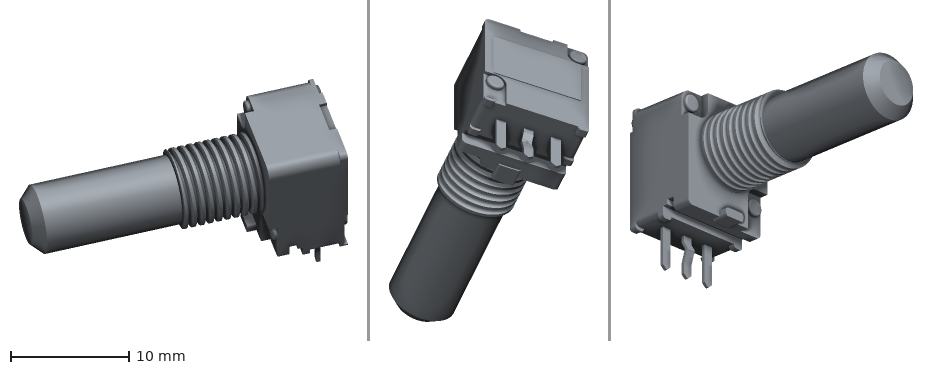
import cadquery as cq
import math


HOUSING_WIDTH = 9.5
SIDE_X = HOUSING_WIDTH / 2
TOP_Z = 4.85
BOTTOM_Z = -6.2
REAR_Y = 6.95
UPPER_EDGE_RADIUS = 1.0
LOWER_EDGE_RADIUS = 0.5
FLANGE_FRONT_Y = 6.28
FLANGE_RADIUS = 0.5
FLANGE_NOTCH_WIDTH = 3.03
FLANGE_NOTCH_DEPTH = 0.3

FRONT_HALF_DEPTH = 2.52
SLOT_FRONT_Y = 1.79
SLOT_REAR_Y = 3.0
SLOT_FRONT_TOP_Z = -4.98
SLOT_REAR_TOP_Z = -5.46

FOOT_WIDTH = 1.0
FOOT_BOTTOM_Z = -6.52
FOOT_TOP_Z = BOTTOM_Z + LOWER_EDGE_RADIUS
FOOT_RADIUS = 0.3
FRONT_FOOT_REAR_Y = 3.6

RIVET_X = -3.75
RIVET_Z = 3.62
RIVET_DIAMETER = 1.6
RIVET_HEAD_HEIGHT = 0.38
RIVET_HEAD_RADIUS = 0.2
CORNER_POCKET_RADIUS = 1.0
FRONT_POCKET_DEPTH = 0.8
FRONT_POCKET_X = -2.38
FRONT_POCKET_Z = 2.27
REAR_RECESS_DEPTH = 0.3
REAR_RECESS_X = RIVET_X + CORNER_POCKET_RADIUS
REAR_RECESS_Z = RIVET_Z - CORNER_POCKET_RADIUS

PAD_WIDTH = 7.95
PAD_HEIGHT = 5.03
PAD_THICKNESS = 0.08

TAB_WIDTH = 2.05
TAB_TOP_Z = -5.55
TAB_BOTTOM_Z = -6.35
TAB_REACH = 0.8
TAB_RADIUS = 0.25

OVERALL_HEIGHT = 14.88
TERMINAL_PITCH = 2.5
TERMINAL_WIDTH = 0.9
TERMINAL_THICKNESS = 0.3
TERMINAL_FRONT_Y = 4.8
TERMINAL_END_Z = TOP_Z - OVERALL_HEIGHT
TERMINAL_POINT_HEIGHT = 0.32
TERMINAL_TIP_WIDTH = 0.15
TERMINAL_ROOT = 0.27
KINK_TOP_Z = -6.75
KINK_BEND_START = (-0.32, -7.33)
KINK_CREST = (-0.4, -7.5)
KINK_BEND_END = (-0.35, -7.65)
KINK_SLOPE_END = (-0.05, -8.63)
KINK_BOTTOM_Z = -8.95

BUSHING_LENGTH = 7.0
THREAD_DIAMETER = 6.95
THREAD_ROOT_DIAMETER = 6.0
THREAD_PITCH = 0.75
THREAD_CREST_WIDTH = 0.27
THREAD_BASE_WIDTH = 0.6
THREAD_OVERLAP = 0.08
THREAD_START = 0.04

SHAFT_DIAMETER = 6.0
SHAFT_TIP_Y = -20.02
SHAFT_CHAMFER = 1.0
SHAFT_GAP = 0.1
NECK_DIAMETER = 3.5

MARGIN = 1.35


def block(x_range, y_range, z_range):
    """Box between the given limits."""
    sizes = [high - low for low, high in (x_range, y_range, z_range)]
    corner = (x_range[0], y_range[0], z_range[0])
    return cq.Workplane("XY").box(*sizes, centered=False).translate(corner)


def rod(diameter, y_start, y_end):
    """Cylinder around the Y axis."""
    length = y_end - y_start
    return cq.Workplane("XZ", origin=(0, y_end, 0)).circle(diameter / 2).extrude(length)


def opposite(body):
    """The same body turned half a turn around the shaft axis."""
    return body.rotate((0, 0, 0), (0, 1, 0), 180)


def housing_block():
    """Housing in front of the rear flange, with rounded long edges."""
    body = block((-SIDE_X, SIDE_X), (0, FLANGE_FRONT_Y), (BOTTOM_Z, TOP_Z))
    body = body.edges("|Y and >Z").fillet(UPPER_EDGE_RADIUS)
    return body.edges("|Y and <Z").fillet(LOWER_EDGE_RADIUS)


def rear_flange():
    """Plate at the rear with a shallow notch in its top edge and a raised pad on its back."""
    plate = block((-SIDE_X, SIDE_X), (FLANGE_FRONT_Y, REAR_Y), (BOTTOM_Z, TOP_Z))
    plate = plate.edges("|Y and >Z").fillet(FLANGE_RADIUS)
    half_notch = FLANGE_NOTCH_WIDTH / 2
    notch = block(
        (-half_notch, half_notch),
        (FLANGE_FRONT_Y, REAR_Y + MARGIN),
        (TOP_Z - FLANGE_NOTCH_DEPTH, TOP_Z + MARGIN),
    )
    pad = block(
        (-PAD_WIDTH / 2, PAD_WIDTH / 2),
        (REAR_Y, REAR_Y + PAD_THICKNESS),
        (-PAD_HEIGHT / 2, PAD_HEIGHT / 2),
    )
    return plate.cut(notch).union(pad)


def underside_slot():
    """Stepped slot across the whole width, higher in the front half."""
    x_range = (-SIDE_X - MARGIN, SIDE_X + MARGIN)
    low_z = BOTTOM_Z - MARGIN
    front = block(x_range, (SLOT_FRONT_Y, FRONT_HALF_DEPTH), (low_z, SLOT_FRONT_TOP_Z))
    rear = block(x_range, (FRONT_HALF_DEPTH, SLOT_REAR_Y), (low_z, SLOT_REAR_TOP_Z))
    return front.union(rear)


def foot(side, y_range):
    """Foot along the -X (side -1) or +X (side 1) wall."""
    x_range = sorted((side * SIDE_X, side * (SIDE_X - FOOT_WIDTH)))
    body = block(x_range, y_range, (FOOT_BOTTOM_Z, FOOT_TOP_Z))
    return body.edges("|Y and <Z").fillet(FOOT_RADIUS)


def corner_pocket(inner_x, inner_z, y_range):
    """Cutting block for the -X, +Z corner, with its inner edge rounded."""
    body = block((-SIDE_X - MARGIN, inner_x), y_range, (inner_z, TOP_Z + MARGIN))
    return body.edges("|Y and >X and <Z").fillet(CORNER_POCKET_RADIUS)


def rivet_head(floor_y, direction):
    """Rivet head in the -X, +Z corner, rising from floor_y toward -Y (-1) or +Y (1)."""
    head = (
        cq.Workplane("XZ", origin=(RIVET_X, floor_y, RIVET_Z))
        .circle(RIVET_DIAMETER / 2)
        .extrude(-direction * RIVET_HEAD_HEIGHT)
    )
    outer_face = ">Y" if direction > 0 else "<Y"
    return head.faces(outer_face).edges().fillet(RIVET_HEAD_RADIUS)


def locating_tab():
    body = block(
        (-TAB_WIDTH / 2, TAB_WIDTH / 2), (-TAB_REACH, TAB_REACH), (TAB_BOTTOM_Z, TAB_TOP_Z)
    )
    return body.edges("|Y").fillet(TAB_RADIUS)


def terminal_outline(front_y, rear_y):
    """Terminal blank with a blunt point, between two Y planes."""
    half_width = TERMINAL_WIDTH / 2
    half_tip = TERMINAL_TIP_WIDTH / 2
    root_z = BOTTOM_Z + TERMINAL_ROOT
    shoulder_z = TERMINAL_END_Z + TERMINAL_POINT_HEIGHT
    return (
        cq.Workplane("XZ", origin=(0, rear_y, 0))
        .moveTo(-half_width, root_z)
        .lineTo(half_width, root_z)
        .lineTo(half_width, shoulder_z)
        .lineTo(half_tip, TERMINAL_END_Z)
        .lineTo(-half_tip, TERMINAL_END_Z)
        .lineTo(-half_width, shoulder_z)
        .close()
        .extrude(rear_y - front_y)
    )


def straight_terminal():
    return terminal_outline(TERMINAL_FRONT_Y, TERMINAL_FRONT_Y + TERMINAL_THICKNESS)


def kinked_terminal():
    """Terminal bent forward in its middle, so that it snaps into a board."""
    front_y = TERMINAL_FRONT_Y
    rear_y = TERMINAL_FRONT_Y + TERMINAL_THICKNESS
    root_z = BOTTOM_Z + TERMINAL_ROOT

    def on_face(face_y, point):
        return (face_y + point[0], point[1])

    strip = (
        cq.Workplane("YZ", origin=(-TERMINAL_WIDTH / 2, 0, 0))
        .moveTo(front_y, root_z)
        .lineTo(front_y, KINK_TOP_Z)
        .lineTo(*on_face(front_y, KINK_BEND_START))
        .threePointArc(on_face(front_y, KINK_CREST), on_face(front_y, KINK_BEND_END))
        .lineTo(*on_face(front_y, KINK_SLOPE_END))
        .tangentArcPoint((front_y, KINK_BOTTOM_Z), relative=False)
        .lineTo(front_y, TERMINAL_END_Z)
        .lineTo(rear_y, TERMINAL_END_Z)
        .lineTo(rear_y, KINK_BOTTOM_Z)
        .lineTo(*on_face(rear_y, KINK_SLOPE_END))
        .lineTo(*on_face(rear_y, KINK_BEND_END))
        .threePointArc(on_face(rear_y, KINK_CREST), on_face(rear_y, KINK_BEND_START))
        .lineTo(rear_y, KINK_TOP_Z)
        .lineTo(rear_y, root_z)
        .close()
        .extrude(TERMINAL_WIDTH)
    )
    return strip.intersect(terminal_outline(front_y - MARGIN, rear_y))


def thread_ridge():
    """Right-handed helical ridge around the Y axis, longer than the bushing at both ends."""
    root_radius = THREAD_ROOT_DIAMETER / 2
    crest_radius = THREAD_DIAMETER / 2
    inner_radius = root_radius - THREAD_OVERLAP
    half_crest = THREAD_CREST_WIDTH / 2
    flank_slope = (THREAD_BASE_WIDTH / 2 - half_crest) / (crest_radius - root_radius)
    half_inner = half_crest + flank_slope * (crest_radius - inner_radius)
    turns_before = 1
    turns = math.ceil(BUSHING_LENGTH / THREAD_PITCH) + 2 * turns_before
    helix = cq.Wire.makeHelix(THREAD_PITCH, turns * THREAD_PITCH, root_radius)
    ridge = (
        cq.Workplane("XZ")
        .polyline([
            (inner_radius, -half_inner),
            (crest_radius, -half_crest),
            (crest_radius, half_crest),
            (inner_radius, half_inner),
        ])
        .close()
        .sweep(cq.Workplane(helix), isFrenet=True)
    )
    first_turn_y = turns_before * THREAD_PITCH - THREAD_START
    return ridge.rotate((0, 0, 0), (1, 0, 0), 90).translate((0, first_turn_y, 0))


def bushing():
    """Threaded bushing with the ends of its ridge cut flat."""
    envelope = rod(THREAD_DIAMETER + MARGIN, -BUSHING_LENGTH, 0)
    core = rod(THREAD_ROOT_DIAMETER, -BUSHING_LENGTH, 0)
    return core.union(thread_ridge().intersect(envelope))


def make_housing():
    body = housing_block().union(rear_flange()).cut(underside_slot())
    for side in (-1, 1):
        body = body.union(foot(side, (SLOT_REAR_Y, FRONT_FOOT_REAR_Y)))
        body = body.union(foot(side, (FLANGE_FRONT_Y, REAR_Y)))

    recess_floor_y = REAR_Y - REAR_RECESS_DEPTH
    front_pocket = corner_pocket(FRONT_POCKET_X, FRONT_POCKET_Z, (-MARGIN, FRONT_POCKET_DEPTH))
    rear_recess = corner_pocket(REAR_RECESS_X, REAR_RECESS_Z, (recess_floor_y, REAR_Y))
    for pocket in (front_pocket, rear_recess):
        body = body.cut(pocket).cut(opposite(pocket))
    for head in (rivet_head(FRONT_POCKET_DEPTH, -1), rivet_head(recess_floor_y, 1)):
        body = body.union(head).union(opposite(head))

    body = body.union(locating_tab()).union(kinked_terminal())
    for side in (-1, 1):
        body = body.union(straight_terminal().translate((side * TERMINAL_PITCH, 0, 0)))

    return body.union(bushing()).cut(rod(NECK_DIAMETER, -BUSHING_LENGTH, 0))


def make_shaft():
    """Shaft with a chamfered tip and a thinner neck that fills the bore of the bushing."""
    shoulder_y = -BUSHING_LENGTH - SHAFT_GAP
    body = rod(SHAFT_DIAMETER, SHAFT_TIP_Y, shoulder_y).faces("<Y").chamfer(SHAFT_CHAMFER)
    return body.union(rod(NECK_DIAMETER, shoulder_y, 0))


housing = make_housing()
shaft = make_shaft()

result = cq.Compound.makeCompound([housing.solids().val(), shaft.solids().val()])